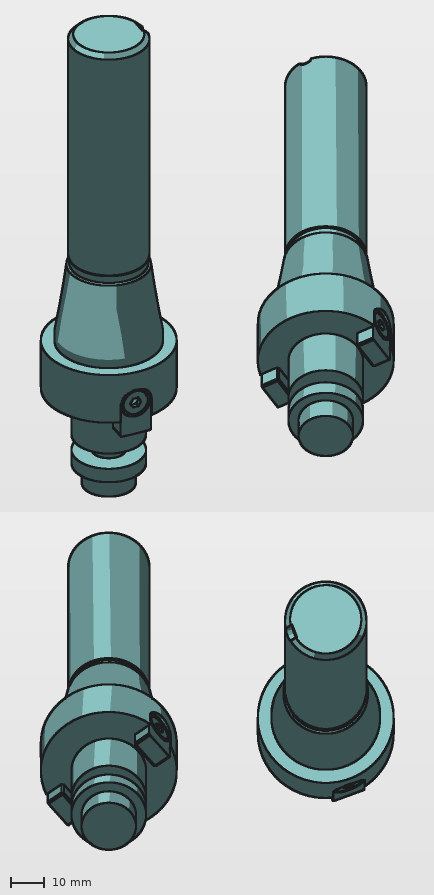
import cadquery as cq
import math

RING_BOTTOM = 6.8
RING_TOP = 11.4
PILOT_BOTTOM = 16.6
FLANGE_BOTTOM = 32.7
FLANGE_TOP = 49.0
CONE_BOTTOM = 51.8
CONE_TOP = 75.2
NECK_BOTTOM = 75.7
NECK_TOP = 78.0
SHANK_BOTTOM = 78.5
SHANK_TOP = 154.1

END_DIA = 16.0
PILOT_DIA = 22.0
STEM_DIA = 10.0
FLANGE_DIA = 40.0
CONE_BASE_DIA = 32.0
CONE_TOP_DIA = 25.0
NECK_DIA = 23.5
CONE_HOLLOW = 0.2
SHANK_DIA = 24.0
SHANK_CHAMFER = 1.5

NOTCH_WIDTH = 4.0
NOTCH_FLOOR_Y = 9.9
NOTCH_DEPTH = 3.1

KEY_WIDTH = 10.0
KEY_OUTER_X = 19.0
KEY_INNER_X = 13.3
KEY_BOTTOM = 27.3
KEY_SCREW_Z = 37.9
KEY_CHAMFER = 0.5

RIM_DIA = 9.4
HEAD_DIA = 7.9
RIM_DEPTH = 0.8
SOCKET_ACROSS_FLATS = 3.0
SOCKET_DEPTH = 1.5
SOCKET_CONE_DEPTH = 1.0


def turned_body():
    """Revolved outline from the bottom end to the chamfered shank top."""
    end_r, stem_r, pilot_r = END_DIA / 2, STEM_DIA / 2, PILOT_DIA / 2
    flange_r, neck_r, shank_r = FLANGE_DIA / 2, NECK_DIA / 2, SHANK_DIA / 2
    cone_base_r, cone_top_r = CONE_BASE_DIA / 2, CONE_TOP_DIA / 2
    below_cone = [
        (0, 0),
        (end_r, 0),
        (end_r, RING_BOTTOM),
        (pilot_r, RING_BOTTOM),
        (pilot_r, RING_TOP),
        (stem_r, RING_TOP),
        (stem_r, PILOT_BOTTOM),
        (pilot_r, PILOT_BOTTOM),
        (pilot_r, FLANGE_BOTTOM),
        (flange_r, FLANGE_BOTTOM),
        (flange_r, FLANGE_TOP),
        (cone_base_r, FLANGE_TOP),
        (cone_base_r, CONE_BOTTOM),
    ]
    cone_middle = ((cone_base_r + cone_top_r) / 2 - CONE_HOLLOW, (CONE_BOTTOM + CONE_TOP) / 2)
    above_cone = [
        (cone_top_r, CONE_TOP),
        (neck_r, NECK_BOTTOM),
        (neck_r, NECK_TOP),
        (shank_r, SHANK_BOTTOM),
        (shank_r, SHANK_TOP - SHANK_CHAMFER),
        (shank_r - SHANK_CHAMFER, SHANK_TOP),
        (0, SHANK_TOP),
    ]
    return (
        cq.Workplane("XZ")
        .polyline(below_cone)
        .threePointArc(cone_middle, above_cone[0])
        .polyline(above_cone[1:], includeCurrent=True)
        .close()
        .revolve(360, (0, 0), (0, 1))
    )


def shank_notch():
    """Cutter open at the top and the +Y side, with a half-round bottom."""
    half = NOTCH_WIDTH / 2
    arc_z = SHANK_TOP - NOTCH_DEPTH + half
    return (
        cq.Workplane("XZ", origin=(0, SHANK_DIA, 0))
        .moveTo(-half, SHANK_TOP)
        .lineTo(-half, arc_z)
        .threePointArc((0, SHANK_TOP - NOTCH_DEPTH), (half, arc_z))
        .lineTo(half, SHANK_TOP)
        .close()
        .extrude(SHANK_DIA - NOTCH_FLOOR_Y)
    )


def key_shape(inner_x, outer_x):
    """Round-topped block on the +X side."""
    half = KEY_WIDTH / 2
    return (
        cq.Workplane("YZ", origin=(inner_x, 0, 0))
        .moveTo(-half, KEY_BOTTOM)
        .lineTo(-half, KEY_SCREW_Z)
        .threePointArc((0, KEY_SCREW_Z + half), (half, KEY_SCREW_Z))
        .lineTo(half, KEY_BOTTOM)
        .close()
        .extrude(outer_x - inner_x)
    )


def drive_key():
    """Key on the +X side, chamfered around its inner and bottom faces."""
    return (
        key_shape(KEY_INNER_X, KEY_OUTER_X)
        .faces("<X or <Z")
        .edges("not >X")
        .chamfer(KEY_CHAMFER)
    )


def screw_recess():
    """Cutter for the conical rim groove and the hexagon socket, on the +X side."""
    groove = (
        cq.Workplane("XY", origin=(KEY_OUTER_X, 0, KEY_SCREW_Z))
        .polyline([(0, HEAD_DIA / 2), (0, RIM_DIA / 2), (-RIM_DEPTH, HEAD_DIA / 2)])
        .close()
        .revolve(360, (0, 0), (1, 0))
    )
    corner_dia = SOCKET_ACROSS_FLATS / math.cos(math.pi / 6)
    socket = (
        cq.Workplane("YZ", origin=(KEY_OUTER_X - SOCKET_DEPTH, 0, KEY_SCREW_Z))
        .polygon(6, corner_dia)
        .extrude(SOCKET_DEPTH)
    )
    tip = (
        cq.Workplane("XY", origin=(KEY_OUTER_X - SOCKET_DEPTH, 0, KEY_SCREW_Z))
        .polyline([(0, 0), (0, SOCKET_ACROSS_FLATS / 2), (-SOCKET_CONE_DEPTH, 0)])
        .close()
        .revolve(360, (0, 0), (1, 0))
    )
    return groove.union(socket.union(tip))


result = turned_body().cut(shank_notch())

flange_slot = key_shape(KEY_OUTER_X, FLANGE_DIA)
for angle in (0, 180):
    turn = ((0, 0, 0), (0, 0, 1), angle)
    result = result.cut(flange_slot.rotate(*turn))
    result = result.union(drive_key().rotate(*turn))
    result = result.cut(screw_recess().rotate(*turn))